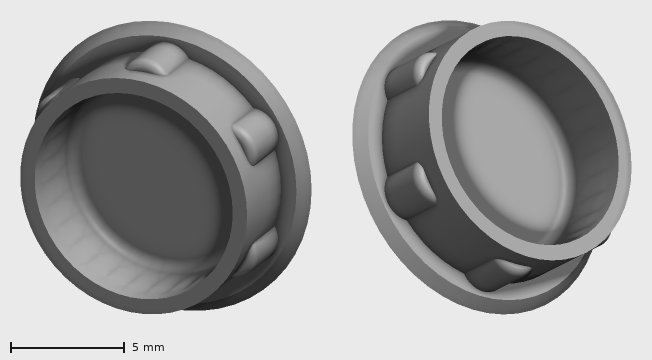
import cadquery as cq
import math


FULL_TURN = 360

HEAD_RADIUS = 6.75
FLANGE_HEIGHT = 0.5
FLANGE_CHAMFER = FLANGE_HEIGHT
DOME_HEIGHT = 0.5

SKIRT_RADIUS = 5.5
SKIRT_LENGTH = 3.5

CAVITY_MOUTH_RADIUS = 4.8
CAVITY_DEPTH = SKIRT_LENGTH
CAVITY_DRAFT_DEGREES = 2
CAVITY_FLOOR_RADIUS = CAVITY_MOUTH_RADIUS - CAVITY_DEPTH * math.tan(math.radians(CAVITY_DRAFT_DEGREES))
CAVITY_FILLET = 0.5

RIB_COUNT = 6
RIB_RADIUS = 1.2
RIB_PROTRUSION = 0.5
RIB_TIP_RADIUS = SKIRT_RADIUS + RIB_PROTRUSION
RIB_LENGTH = 2.5
RIB_END_FILLET = 0.4


def make_head():
    """Flange with a 45 degree edge and a shallow spherical dome."""
    apex = FLANGE_HEIGHT + DOME_HEIGHT
    sphere_radius = (HEAD_RADIUS**2 + DOME_HEIGHT**2) / (2 * DOME_HEIGHT)
    mid_radius = HEAD_RADIUS / 2
    mid_height = apex - sphere_radius + math.sqrt(sphere_radius**2 - mid_radius**2)
    profile = (
        cq.Workplane("XY")
        .moveTo(0, 0)
        .lineTo(HEAD_RADIUS - FLANGE_CHAMFER, 0)
        .lineTo(HEAD_RADIUS, FLANGE_HEIGHT)
        .threePointArc((mid_radius, mid_height), (0, apex))
        .close()
    )
    return profile.revolve(FULL_TURN, (0, 0, 0), (0, 1, 0))


def make_skirt():
    """Solid cylinder from the flange underside to the open end."""
    return cq.Workplane("XZ").circle(SKIRT_RADIUS).extrude(SKIRT_LENGTH)


def make_rib(angle):
    """Axial half-round rib with a rounded free end, turned about Y to its place."""
    rib = (
        cq.Workplane("XZ")
        .center(0, RIB_TIP_RADIUS - RIB_RADIUS)
        .circle(RIB_RADIUS)
        .extrude(RIB_LENGTH)
        .faces("<Y")
        .edges()
        .fillet(RIB_END_FILLET)
    )
    return rib.rotate((0, 0, 0), (0, 1, 0), angle)


def make_cavity():
    """Tapered round recess with a filleted floor edge."""
    floor = CAVITY_DEPTH - SKIRT_LENGTH
    profile = (
        cq.Workplane("XY")
        .moveTo(0, -SKIRT_LENGTH)
        .lineTo(CAVITY_MOUTH_RADIUS, -SKIRT_LENGTH)
        .lineTo(CAVITY_FLOOR_RADIUS, floor)
        .lineTo(0, floor)
        .close()
    )
    cavity = profile.revolve(FULL_TURN, (0, 0, 0), (0, 1, 0))
    return cavity.faces(">Y").edges().fillet(CAVITY_FILLET)


body = make_head().union(make_skirt())
for index in range(RIB_COUNT):
    body = body.union(make_rib(index * FULL_TURN / RIB_COUNT))

result = body.cut(make_cavity())